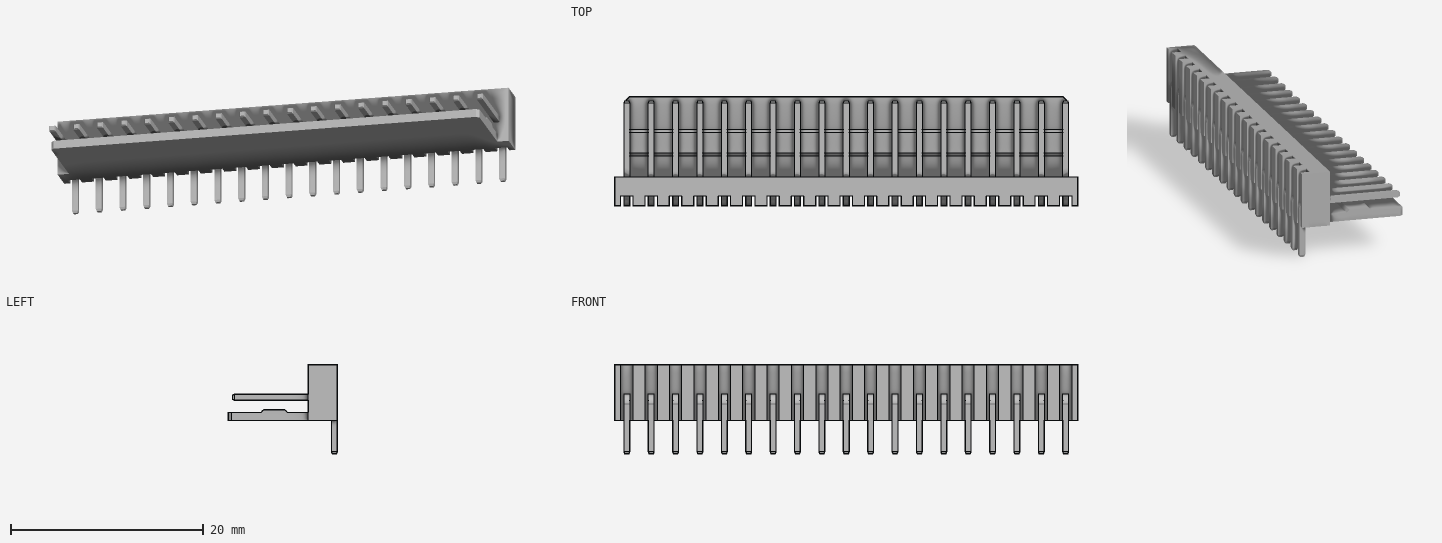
import cadquery as cq

total_length = 48.25
total_depth = 11.4
total_height = 9.3
pin_count = 19
pitch = total_length / pin_count

housing_depth = 3.05
housing_height = 5.85
slot_width = pitch / 2
slot_depth = 1.0

pin_size = 0.65
pin_top = 2.75
bend_radius = 1.0
pin_end_gap = 0.45
tip_length = 0.25
tip_inset = 0.1
tail_length = total_height - housing_height

plate_length = 45.85
plate_thickness = 0.85
plate_corner = 0.35

ridge_height = 0.3
ridge_start = 2.15
ridge_end = 4.9

pin_positions = [(i - (pin_count - 1) / 2) * pitch for i in range(pin_count)]


def make_housing():
    housing = cq.Workplane("XY").box(
        total_length, housing_depth, housing_height, centered=(True, False, False)
    )
    slots = (
        cq.Workplane("XY")
        .pushPoints([(x, slot_depth / 2) for x in pin_positions])
        .rect(slot_width, slot_depth)
        .extrude(housing_height)
    )
    return housing.cut(slots)


def make_plate():
    plate = (
        cq.Workplane("XY")
        .box(
            plate_length,
            total_depth - housing_depth,
            plate_thickness,
            centered=(True, False, False),
        )
        .translate((0, housing_depth, 0))
        .edges("|Z and >Y")
        .chamfer(plate_corner)
    )
    ridge = (
        cq.Workplane("YZ", origin=(-plate_length / 2, housing_depth, plate_thickness))
        .moveTo(ridge_start, 0)
        .lineTo(ridge_start + ridge_height, ridge_height)
        .lineTo(ridge_end - ridge_height, ridge_height)
        .lineTo(ridge_end, 0)
        .close()
        .extrude(plate_length)
    )
    return plate.union(ridge)


def make_tip(workplane):
    """Tapered square end that narrows along the workplane's normal."""
    end_size = pin_size - 2 * tip_inset
    return (
        workplane.rect(pin_size, pin_size)
        .workplane(offset=tip_length)
        .rect(end_size, end_size)
        .loft(ruled=True)
    )


def make_pin():
    """One pin centred on X = 0, its tail flush with the housing's front face."""
    rear_shoulder = total_depth - pin_end_gap - tip_length
    tail_shoulder = -tail_length + tip_length
    inner_radius = bend_radius - pin_size
    bend_z = pin_top - bend_radius
    shank = (
        cq.Workplane("YZ", origin=(-pin_size / 2, 0, 0))
        .moveTo(0, tail_shoulder)
        .lineTo(0, bend_z)
        .radiusArc((bend_radius, pin_top), bend_radius)
        .lineTo(rear_shoulder, pin_top)
        .lineTo(rear_shoulder, pin_top - pin_size)
        .lineTo(bend_radius, pin_top - pin_size)
        .radiusArc((pin_size, bend_z), -inner_radius)
        .lineTo(pin_size, tail_shoulder)
        .close()
        .extrude(pin_size)
    )
    rear_tip = make_tip(
        cq.Workplane("XZ", origin=(0, rear_shoulder, pin_top - pin_size / 2)).transformed(
            rotate=(180, 0, 0)
        )
    )
    tail_tip = make_tip(
        cq.Workplane("XY", origin=(0, pin_size / 2, tail_shoulder)).transformed(
            rotate=(180, 0, 0)
        )
    )
    return shank.union(rear_tip).union(tail_tip)


result = make_housing().union(make_plate())
pin = make_pin()
for x in pin_positions:
    result = result.union(pin.translate((x, 0, 0)))